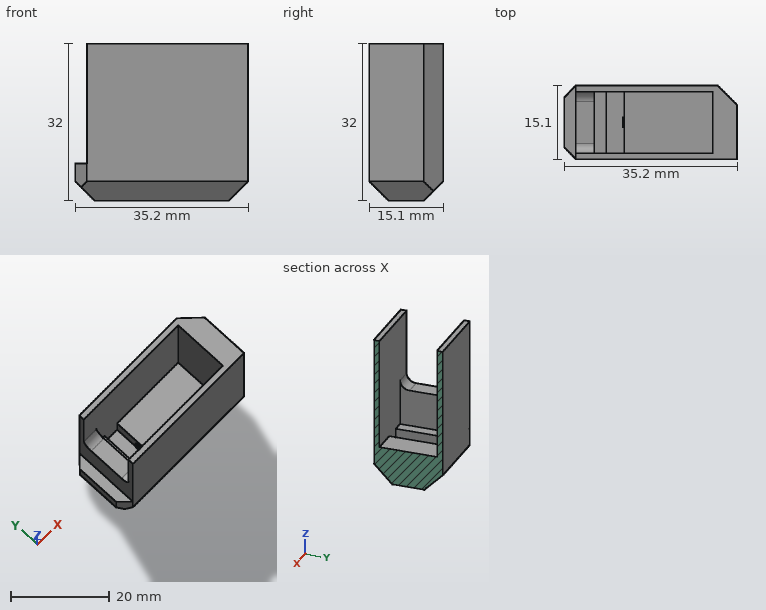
import cadquery as cq

length = 35.2
width = 15.05
height = 32.0

foot_length = 2.4
foot_top = 7.65
foot_corner = 2.45
base_bevel = 4.0
rear_corner = 4.0

side_wall = 1.25
pocket_start = 6.12
pocket_end = 30.25
pocket_width = width - 2 * side_wall
floor_height = 8.03

trench_start = 8.52
trench_end = 12.2
trench_floor = 4.0
stud_diameter = 2.0
stud_length = 0.35
stud_height = (floor_height + trench_floor) / 2

sill_height = 15.95
sill_radius = 2.0


def block(x_start, x_end, block_width, z_start, z_end):
    """Box centred on y = 0 between the given x and z limits."""
    return (
        cq.Workplane("XY")
        .box(x_end - x_start, block_width, z_end - z_start, centered=(False, True, False))
        .translate((x_start, 0, z_start))
    )


def outer_body():
    """Main block with a beveled base, one beveled rear corner and a front foot."""
    main = block(foot_length, length, width, 0, height)
    main = main.edges("|Z and >X and >Y").chamfer(rear_corner)
    half_width = width / 2
    front_half_width = half_width - foot_corner
    foot = (
        cq.Workplane("XY")
        .polyline([
            (foot_length, -half_width),
            (0, -front_half_width),
            (0, front_half_width),
            (foot_length, half_width),
        ])
        .close()
        .extrude(foot_top)
    )
    return main.union(foot).intersect(base_envelope())


def base_envelope():
    """Full-size block whose four bottom edges are beveled."""
    return block(0, length, width, 0, height).faces("<Z").chamfer(base_bevel)


def pocket():
    """Pocket space with a deeper trench across its floor."""
    space = block(pocket_start, pocket_end, pocket_width, floor_height, height)
    trench = block(trench_start, trench_end, pocket_width, trench_floor, height)
    return space.union(trench)


def stud():
    """Round stud standing forward from the rear wall of the trench."""
    return (
        cq.Workplane("YZ", origin=(trench_end, 0, stud_height))
        .circle(stud_diameter / 2)
        .extrude(-stud_length)
    )


def front_opening():
    """Slot through the front wall with rounded lower corners."""
    slot = block(foot_length, pocket_start, pocket_width, sill_height, height)
    return slot.edges("|X and <Z").fillet(sill_radius)


result = outer_body().cut(pocket()).cut(front_opening()).union(stud())